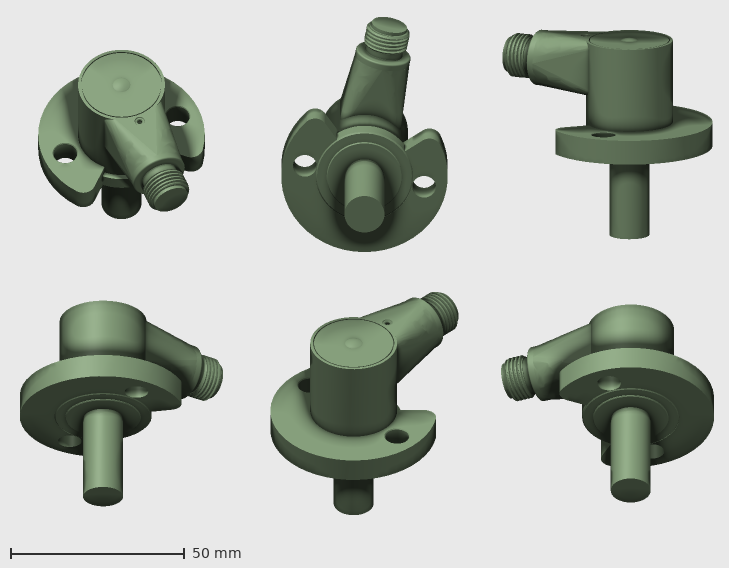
import cadquery as cq
import math


flange_radius = 23.95
flange_thickness = 7.0
bolt_circle_radius = 17.45
bolt_hole_radius = 3.4
bolt_hole_chamfer = 0.25
notch_half_angle = 45.0
notch_corner_radius = 3.45

barrel_radius = 12.5
barrel_top = 31.2
shoulder_radius = 14.0
shoulder_top = 4.4
shoulder_bottom = -0.2
shoulder_chamfer = 0.4
foot_radius = 10.9
foot_bottom = -0.55
foot_chamfer = 0.25
neck_radius = 5.65
neck_bottom = -1.4
stem_radius = 5.75
stem_shoulder = -2.05
stem_bottom = -26.3

collar_radius = 8.0
arm_axis_height = barrel_top - collar_radius
arm_start = 6.2
arm_start_half_width = 9.05
arm_start_corner_radius = 1.1
collar_start = 27.05
collar_end = 29.05
collar_fillet = 0.5
blend_flat = 0.01

lid_radius = 11.7
lid_thickness = 1.85
lid_gap_width = 0.3
lid_gap_depth = 0.6
dome_radius = 2.55
dome_height = 0.5

screw_x = 13.9
screw_radius = 1.3
screw_recess = 0.25
screw_length = 3.1
screw_hole_top_radius = 1.5
socket_radius = 0.9
socket_chamfer = 0.25
socket_depth = 0.9
socket_point_depth = 0.4

connector_radius = 5.4
connector_flare_width = 0.1
connector_flare_length = 0.3
thread_start = 31.2
thread_end = 36.95
thread_root_radius = 5.7
thread_crest_radius = 6.3
thread_pitch = 1.2
thread_turns = 6
thread_root_width = 0.9
thread_crest_width = 0.4
thread_overlap = 0.1
connector_tip_radius = 5.15
connector_end = 37.95


def cylinder(radius, bottom, top):
    """Upright cylinder on the Z axis."""
    return cq.Workplane("XY").workplane(offset=bottom).circle(radius).extrude(top - bottom)


def revolve_about_z(points):
    """Solid of revolution from (radius, height) points."""
    return cq.Workplane("XZ").polyline(points).close().revolve(360, (0, 0), (0, 1))


def make_notch():
    """Wedge with its tip on the Z axis, opening towards +X past the flange rim."""
    reach = 2 * flange_radius
    half_width = reach * math.tan(math.radians(notch_half_angle))
    outline = [(0, 0), (reach, -half_width), (reach, half_width)]
    return cq.Workplane("XY").polyline(outline).close().extrude(flange_thickness)


def make_flange():
    flange = cylinder(flange_radius, 0, flange_thickness).cut(make_notch())
    notch_corners = cq.selectors.BoxSelector(
        (flange_radius / 2, -flange_radius, 0),
        (flange_radius, flange_radius, flange_thickness),
    )
    flange = flange.edges("|Z").edges(notch_corners).fillet(notch_corner_radius)
    flange = flange.cut(cylinder(barrel_radius, 0, flange_thickness))
    flange = flange.cut(cylinder(shoulder_radius, 0, shoulder_top))

    hole_mouth = flange_thickness - bolt_hole_chamfer
    bolt_hole = revolve_about_z([
        (0, 0),
        (bolt_hole_radius, 0),
        (bolt_hole_radius, hole_mouth),
        (bolt_hole_radius + bolt_hole_chamfer, flange_thickness),
        (0, flange_thickness),
    ])
    for side in (-1, 1):
        flange = flange.cut(bolt_hole.translate((0, side * bolt_circle_radius, 0)))
    return flange


def make_turned_housing():
    """Barrel, shoulder, foot, neck and stem in one turned profile."""
    return revolve_about_z([
        (0, barrel_top),
        (barrel_radius, barrel_top),
        (barrel_radius, shoulder_top),
        (shoulder_radius, shoulder_top),
        (shoulder_radius, shoulder_bottom + shoulder_chamfer),
        (shoulder_radius - shoulder_chamfer, shoulder_bottom),
        (foot_radius, shoulder_bottom),
        (foot_radius, foot_bottom + foot_chamfer),
        (foot_radius - foot_chamfer, foot_bottom),
        (neck_radius, foot_bottom),
        (neck_radius, neck_bottom),
        (stem_radius, stem_shoulder),
        (stem_radius, stem_bottom),
        (0, stem_bottom),
    ])


def arm_wire(x, half_width, corner_radius):
    """Rounded rectangle across the arm, always as tall as the collar."""
    plane = cq.Plane(origin=(x, 0, arm_axis_height), xDir=(0, 1, 0), normal=(1, 0, 0))
    outline = cq.Workplane(plane).rect(2 * half_width, 2 * collar_radius).val()
    return outline.fillet2D(corner_radius, outline.Vertices())


def make_arm():
    root = arm_wire(arm_start, arm_start_half_width, arm_start_corner_radius)
    tip = arm_wire(collar_start, collar_radius, collar_radius - blend_flat / 2)
    blend = cq.Workplane(cq.Solid.makeLoft([root, tip], True))
    collar = (
        cq.Workplane("YZ", origin=(collar_start, 0, arm_axis_height))
        .circle(collar_radius)
        .extrude(collar_end - collar_start)
        .faces(">X")
        .edges()
        .fillet(collar_fillet)
    )
    return blend.union(collar)


def make_screw_hole():
    screw_top = barrel_top - screw_recess
    return revolve_about_z([
        (0, screw_top - screw_length),
        (screw_radius, screw_top - screw_length),
        (screw_radius, screw_top),
        (screw_hole_top_radius, barrel_top),
        (0, barrel_top),
    ]).translate((screw_x, 0, 0))


def make_housing():
    housing = make_turned_housing().union(make_arm())
    housing = housing.cut(cylinder(lid_radius, barrel_top - lid_thickness, barrel_top))
    return housing.cut(make_screw_hole())


def make_lid():
    """Disc with a relieved rim, which leaves a narrow gap to the barrel, and a central dome."""
    rim_radius = lid_radius - lid_gap_width
    rim_bottom = barrel_top - lid_gap_depth
    lid = cylinder(lid_radius, barrel_top - lid_thickness, rim_bottom)
    lid = lid.union(cylinder(rim_radius, rim_bottom, barrel_top))
    sphere_radius = (dome_radius**2 + dome_height**2) / (2 * dome_height)
    sphere_centre = barrel_top + dome_height - sphere_radius
    cap = cq.Workplane("XY").sphere(sphere_radius).translate((0, 0, sphere_centre))
    cap = cap.intersect(cylinder(dome_radius, rim_bottom, barrel_top + dome_height))
    return lid.union(cap)


def make_set_screw():
    screw_top = barrel_top - screw_recess
    socket_bottom = screw_top - socket_depth
    return revolve_about_z([
        (0, screw_top - screw_length),
        (screw_radius, screw_top - screw_length),
        (screw_radius, screw_top),
        (socket_radius, screw_top),
        (socket_radius - socket_chamfer, screw_top - socket_chamfer),
        (socket_radius - socket_chamfer, socket_bottom),
        (0, socket_bottom - socket_point_depth),
    ]).translate((screw_x, 0, 0))


def make_thread():
    """Helical ridge of trapezoid section about the Z axis, chamfered at both ends."""
    base_radius = thread_root_radius - thread_overlap
    helix = cq.Wire.makeHelix(thread_pitch, thread_pitch * thread_turns, base_radius)
    section = [
        (base_radius, -thread_root_width / 2),
        (thread_crest_radius, -thread_crest_width / 2),
        (thread_crest_radius, thread_crest_width / 2),
        (base_radius, thread_root_width / 2),
    ]
    ridge = cq.Workplane("XZ").polyline(section).close().sweep(cq.Workplane(helix), isFrenet=True)
    ridge = ridge.translate((0, 0, (thread_start + thread_end - thread_pitch * thread_turns) / 2))

    envelope_radius = thread_crest_radius + thread_overlap
    chamfer = envelope_radius - thread_root_radius
    envelope = revolve_about_z([
        (0, thread_start),
        (thread_root_radius, thread_start),
        (envelope_radius, thread_start + chamfer),
        (envelope_radius, thread_end - chamfer),
        (thread_root_radius, thread_end),
        (0, thread_end),
    ])
    return ridge.intersect(envelope)


def make_connector():
    """Turned and threaded about the Z axis, then laid along +X on the arm axis."""
    connector = revolve_about_z([
        (0, collar_end),
        (connector_radius + connector_flare_width, collar_end),
        (connector_radius, collar_end + connector_flare_length),
        (connector_radius, thread_start),
        (thread_root_radius, thread_start),
        (thread_root_radius, thread_end),
        (connector_tip_radius, thread_end),
        (connector_tip_radius, connector_end),
        (0, connector_end),
    ])
    connector = connector.union(make_thread())
    connector = connector.rotate((0, 0, 0), (0, 1, 0), 90)
    return connector.translate((0, 0, arm_axis_height))


flange = make_flange()
housing = make_housing()
lid = make_lid()
set_screw = make_set_screw()
connector = make_connector()

result = cq.Compound.makeCompound(
    [flange.val(), housing.val(), lid.val(), set_screw.val(), connector.val()]
)